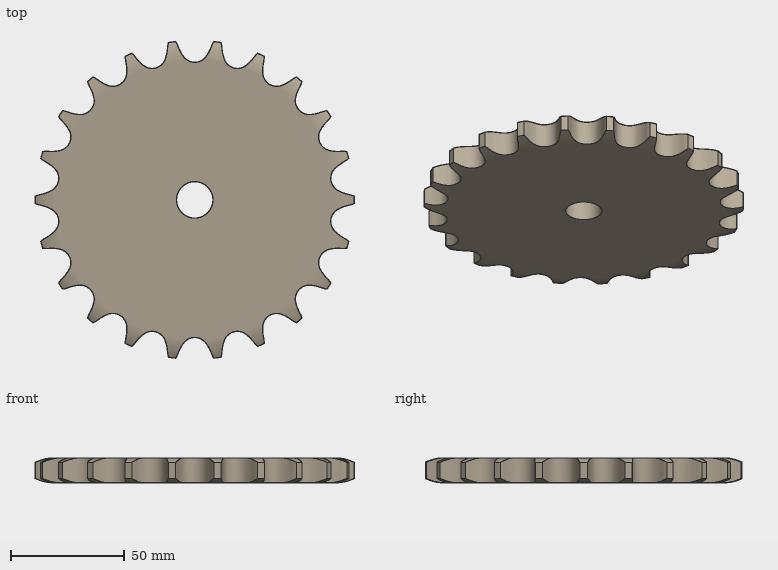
import math

import cadquery as cq

teeth = 22
chain_pitch = 19.05
roller_diameter = 12.07
outside_diameter = 141.0
thickness = 11.1
bore_diameter = 16.0

shoulder_radius = 62.0
side_radius = chain_pitch

half_pitch_angle = math.pi / teeth
pitch_radius = chain_pitch / 2 / math.sin(half_pitch_angle)
outside_radius = outside_diameter / 2
seating_clearance = 0.0381
seating_angle = math.radians(35 + 60 / teeth)
working_angle = math.radians(18 - 56 / teeth)
topping_angle = math.radians(17 - 64 / teeth)
seating_radius = 0.5025 * roller_diameter + seating_clearance
working_radius = 1.3025 * roller_diameter + seating_clearance
working_centre_offset = 0.8 * roller_diameter
topping_centre_offset = 1.4 * roller_diameter
flank_length = (
    topping_centre_offset * math.sin(topping_angle)
    - working_centre_offset * math.sin(working_angle)
)
topping_radius = (
    topping_centre_offset * math.cos(topping_angle)
    + working_centre_offset * math.cos(working_angle)
    - working_radius
)


def offset(point, distance, angle):
    """Point lying a distance away from another, in the direction of an angle."""
    return (point[0] + distance * math.cos(angle), point[1] + distance * math.sin(angle))


def turned(point, angle):
    """Point rotated about the sprocket axis."""
    return offset((0, 0), math.hypot(*point), math.atan2(point[1], point[0]) + angle)


def right_gap_side():
    """Points up the right side of a tooth gap centred on +Y, from the seat end to the tooth tip."""
    roller_centre = (0, pitch_radius)
    seat_end = offset(roller_centre, seating_radius, -seating_angle)

    working_centre = offset(roller_centre, working_centre_offset, math.pi - seating_angle)
    flank_normal = working_angle - seating_angle
    working_middle = offset(working_centre, working_radius, working_angle / 2 - seating_angle)
    working_end = offset(working_centre, working_radius, flank_normal)

    flank_end = offset(working_end, flank_length, flank_normal + math.pi / 2)

    topping_centre = offset(roller_centre, topping_centre_offset, -half_pitch_angle)
    centre_distance = math.hypot(*topping_centre)
    centre_direction = math.atan2(topping_centre[1], topping_centre[0])
    tip_turn = math.acos(
        (centre_distance**2 + outside_radius**2 - topping_radius**2)
        / (2 * centre_distance * outside_radius)
    )
    tip = offset((0, 0), outside_radius, centre_direction + tip_turn)
    tip_direction = math.atan2(tip[1] - topping_centre[1], tip[0] - topping_centre[0])
    flank_direction = flank_normal + math.pi
    topping_middle = offset(topping_centre, topping_radius, (tip_direction + flank_direction) / 2)

    return [seat_end, working_middle, working_end, flank_end, topping_middle, tip]


def toothed_plate():
    """Full-thickness plate with the tooth outline; one tooth points along +X."""
    right_side = right_gap_side()
    left_side = [(-x, y) for x, y in right_side]
    root = (0, pitch_radius - seating_radius)
    crest = turned((0, outside_radius), half_pitch_angle)
    first_gap = half_pitch_angle - math.pi / 2

    outline = cq.Workplane("XY").moveTo(*turned(right_side[-1], first_gap))
    for index in range(teeth):
        angle = first_gap + 2 * half_pitch_angle * index
        next_tip = turned(right_side[-1], angle + 2 * half_pitch_angle)

        right = [turned(point, angle) for point in right_side]
        seat_start, working_middle, working_end, flank_end, topping_middle, _ = right
        outline = outline.threePointArc(topping_middle, flank_end).lineTo(*working_end)
        outline = outline.threePointArc(working_middle, seat_start)

        left = [turned(point, angle) for point in left_side]
        seat_end, working_middle, working_end, flank_end, topping_middle, tip = left
        outline = outline.threePointArc(turned(root, angle), seat_end)
        outline = outline.threePointArc(working_middle, working_end)
        outline = outline.lineTo(*flank_end).threePointArc(topping_middle, tip)

        outline = outline.threePointArc(turned(crest, angle), next_tip)
    return outline.close().extrude(thickness)


def side_drop(reach):
    """Depth of the rounded side below the flat face, a radial reach beyond the shoulder."""
    return side_radius - math.sqrt(side_radius**2 - reach**2)


def rounded_blank():
    """Disc with both faces curving down towards the rim, and a central bore."""
    rim_reach = outside_radius - shoulder_radius
    middle_reach = rim_reach / 2
    rim_drop = side_drop(rim_reach)
    middle_drop = side_drop(middle_reach)
    middle_radius = shoulder_radius + middle_reach
    bore_radius = bore_diameter / 2
    profile = (
        cq.Workplane("XZ")
        .moveTo(bore_radius, 0)
        .lineTo(shoulder_radius, 0)
        .threePointArc((middle_radius, middle_drop), (outside_radius, rim_drop))
        .lineTo(outside_radius, thickness - rim_drop)
        .threePointArc((middle_radius, thickness - middle_drop), (shoulder_radius, thickness))
        .lineTo(bore_radius, thickness)
        .close()
    )
    return profile.revolve(360, (0, 0), (0, 1))


result = rounded_blank().intersect(toothed_plate())